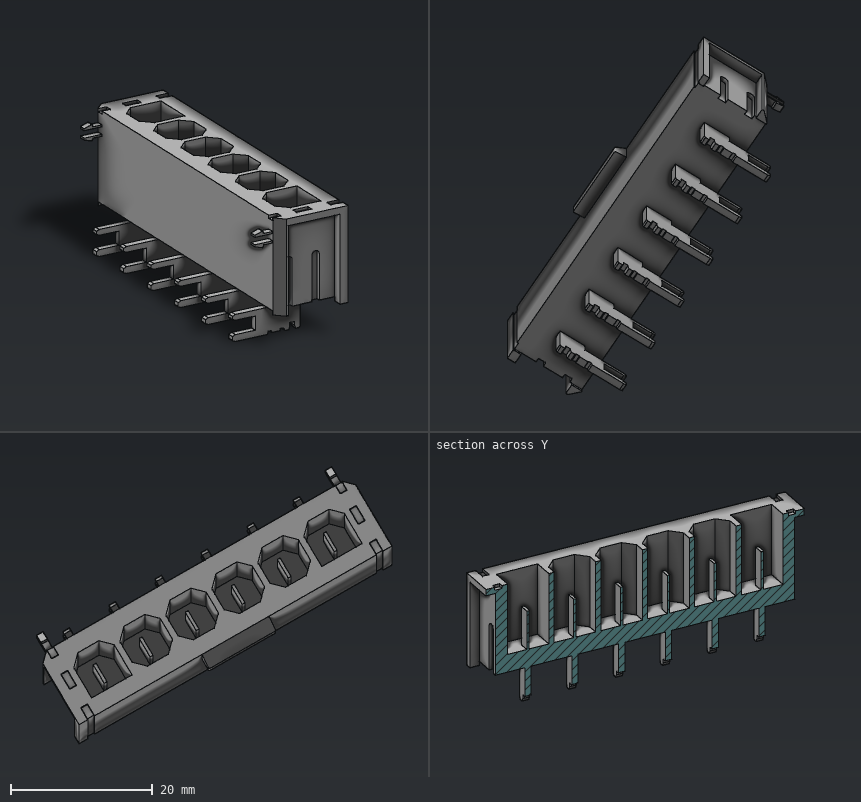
import cadquery as cq


length = 51.05
depth = 11.55
top_z = 19.8
body_bottom_z = 5.65
rail_bottom_z = 5.05
front_corner_chamfer = 1.4

recess_depth = 1.55
front_rail_width = 1.75
rear_rail_width_left = 0.95
rear_rail_width_right = 1.35
recess_top_z = top_z - 1.05

groove_width = 1.2
groove_depth = 0.6
groove_top_z = 13.3
groove_centers_y = (2.65, 7.1)

contact_count = 6
pitch = 7.5
cavity_width = 6.6
cavity_corner = 1.6
cavity_center_y = 5.8
cavity_depth = 11.25
blade_thickness = 0.45
blade_width = 3.05
blade_top_z = top_z - 5.1
terminal_thickness = 1.05

foot_back_y = 7.4
stem_front_y = 3.2
tine_tip_y = -3.75
tine_taper_length = 0.45
tine_taper_drop = 0.2
upper_tine_top_z = 4.15
upper_tine_bottom_z = 3.2
lower_tine_top_z = 1.05
heel_chamfer_length = 0.2
heel_chamfer_height = 0.3

shallow_notch_front = ((2.0, 0), (2.15, 0.45), (2.6, 0.45), (2.7, 0.15))
shallow_notch_rear = ((4.1, 0.15), (4.15, 0.45), (4.65, 0.45), (4.9, 0))
deep_notch = ((5.5, 0), (5.65, 0.5), (5.65, 1.05), (6.45, 1.05), (6.45, 0.5), (6.65, 0))

slot_width = 1.05
slot_center_x = 23.55
slot_depth = 0.45
middle_slot_y = (4.0, 6.45)
front_slot_end_y = 1.4
rear_slot_start_y = 9.55
rear_channel_depth = 0.2
hook_tip_y = -2.9
hook_barb_y = -1.65
hook_barb_start_y = -1.45
hook_center_z = 16.85
hook_gap = 1.1
hook_thickness = 0.3
hook_barb_height = 0.4

latch_width = 10.9
latch_reach = 1.95
latch_ramp_drop = 2.15
latch_tip_drop = 3.9
latch_root_drop = 3.5
latch_corner_radius = 0.2

EMBED = 0.5


def block(x_range, y_range, z_range):
    """Box between two limits on each axis."""
    sizes = [high - low for low, high in (x_range, y_range, z_range)]
    corner = (x_range[0], y_range[0], z_range[0])
    return cq.Workplane("XY").box(*sizes, centered=False).translate(corner)


def side_plate(points_yz, center_x, thickness):
    """Plate with a (Y, Z) outline, centred on center_x."""
    plate = cq.Workplane("YZ").polyline(points_yz).close().extrude(thickness / 2, both=True)
    return plate.translate((center_x, 0, 0))


def contact_x(index):
    """X position of a contact, counted from the -X end."""
    return (index - (contact_count - 1) / 2) * pitch


def make_shell():
    """Block with chamfered front corners and rails reaching below its underside."""
    half = length / 2
    shell = block((-half, half), (0, depth), (rail_bottom_z, top_z))
    shell = shell.faces("<Y").edges("|Z").chamfer(front_corner_chamfer)
    between_rails = half - recess_depth
    underside = block((-between_rails, between_rails), (0, depth), (rail_bottom_z, body_bottom_z))
    return shell.cut(underside)


def end_recess(side, rear_rail_width):
    """Open-bottomed recess at one end, with its floor grooves."""
    outer_x = side * length / 2
    floor_x = outer_x - side * recess_depth
    groove_floor_x = floor_x - side * groove_depth
    cutter = block(
        sorted((outer_x, floor_x)),
        (front_rail_width, depth - rear_rail_width),
        (rail_bottom_z, recess_top_z),
    )
    radius = groove_width / 2
    for center_y in groove_centers_y:
        groove = (
            cq.Workplane("YZ", origin=(groove_floor_x, 0, 0))
            .moveTo(center_y - radius, rail_bottom_z)
            .lineTo(center_y - radius, groove_top_z - radius)
            .threePointArc((center_y, groove_top_z), (center_y + radius, groove_top_z - radius))
            .lineTo(center_y + radius, rail_bottom_z)
            .close()
            .extrude(side * (groove_depth + recess_depth))
        )
        cutter = cutter.union(groove)
    return cutter


def cavity(index):
    """Octagonal pocket; the two end pockets keep square rear corners."""
    is_end = index in (0, contact_count - 1)
    pocket = (
        cq.Workplane("XY", origin=(contact_x(index), cavity_center_y, top_z))
        .rect(cavity_width, cavity_width)
        .extrude(-cavity_depth)
    )
    return pocket.edges("|Z and <Y" if is_end else "|Z").chamfer(cavity_corner)


def hook_slots(center_x):
    """Three shallow top slots and the channel down the rear face."""
    x_range = (center_x - slot_width / 2, center_x + slot_width / 2)
    slot_ranges = ((0, front_slot_end_y), middle_slot_y, (rear_slot_start_y, depth))
    cutter = block(x_range, (depth - rear_channel_depth, depth), (rail_bottom_z, top_z))
    for y_range in slot_ranges:
        cutter = cutter.union(block(x_range, y_range, (top_z - slot_depth, top_z)))
    return cutter


def hook_prong(center_x, direction):
    """One barbed prong; direction +1 puts the barb on top, -1 below."""
    inner_z = hook_center_z + direction * hook_gap / 2
    outer_z = inner_z + direction * hook_thickness
    outline = [
        (EMBED, inner_z),
        (hook_tip_y, inner_z),
        (hook_tip_y, outer_z),
        (hook_barb_y, outer_z + direction * hook_barb_height),
        (hook_barb_start_y, outer_z),
        (EMBED, outer_z),
    ]
    return side_plate(outline, center_x, slot_width)


def tine_end(lower_z, upper_z):
    """Tapered tip of a tine, listed from its top edge to its bottom edge."""
    taper_y = tine_tip_y + tine_taper_length
    return [
        (taper_y, upper_z),
        (tine_tip_y, upper_z - tine_taper_drop),
        (tine_tip_y, lower_z + tine_taper_drop),
        (taper_y, lower_z),
    ]


def terminal(center_x):
    """Mating blade in the cavity joined to the forked foot below."""
    lower_edge = [
        *shallow_notch_front,
        *shallow_notch_rear,
        *deep_notch,
        (foot_back_y - heel_chamfer_length, 0),
        (foot_back_y, heel_chamfer_height),
    ]
    outline = [
        (foot_back_y, body_bottom_z + EMBED),
        (stem_front_y, body_bottom_z + EMBED),
        (stem_front_y, upper_tine_top_z),
        *tine_end(upper_tine_bottom_z, upper_tine_top_z),
        (0, upper_tine_bottom_z),
        (0, lower_tine_top_z),
        *tine_end(0, lower_tine_top_z),
        *lower_edge,
    ]
    foot = side_plate(outline, center_x, terminal_thickness)
    half_thickness = blade_thickness / 2
    blade = block(
        (center_x - half_thickness, center_x + half_thickness),
        (cavity_center_y - blade_width / 2, cavity_center_y + blade_width / 2),
        (body_bottom_z, blade_top_z),
    )
    return foot.union(blade)


def latch():
    """Ramp rising from the top rear edge, with a slightly undercut lower face."""
    tip_y = depth + latch_reach
    outline = [
        (depth - EMBED, top_z - latch_root_drop),
        (depth - EMBED, top_z),
        (depth, top_z),
        (tip_y, top_z - latch_ramp_drop),
        (tip_y, top_z - latch_tip_drop),
        (depth, top_z - latch_root_drop),
    ]
    return side_plate(outline, 0, latch_width).faces(">Y").edges("|Z").fillet(latch_corner_radius)


result = make_shell().union(latch())
result = result.cut(end_recess(-1, rear_rail_width_left))
result = result.cut(end_recess(1, rear_rail_width_right))

for contact in range(contact_count):
    result = result.cut(cavity(contact)).union(terminal(contact_x(contact)))

for hook_x in (-slot_center_x, slot_center_x):
    result = result.cut(hook_slots(hook_x))
    for prong_direction in (1, -1):
        result = result.union(hook_prong(hook_x, prong_direction))